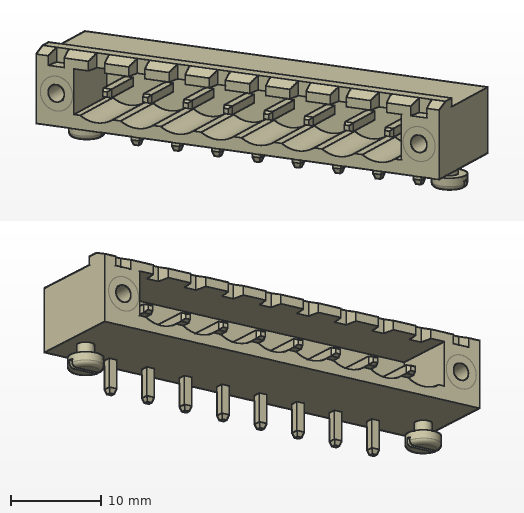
import cadquery as cq


pin_count = 8
pitch = 5.0
first_pin_x = -(pin_count - 1) * pitch / 2
pin_positions = [first_pin_x + i * pitch for i in range(pin_count)]
flange_x = -first_pin_x + pitch
flange_positions = [-flange_x, flange_x]

housing_length = (pin_count + 2) * pitch
housing_depth = 12.0
housing_height = 8.6
back_top_z = 7.6
lip_depth = 3.1
bevel_depth = 1.6
bevel_drop = 0.6

cavity_length = 40.6
cavity_depth = 8.0
cavity_top_z = 6.9
ridge_z = 1.65
valley_z = 1.05
ridge_width = 1.0

notch_front_width = 2.0
notch_back_width = 1.5

pin_width = 1.0
pin_tip_width = 0.6
pin_taper_length = 0.6
pin_axis_z = 3.8
pin_front_y = 2.1
pin_tail_y = 10.0
pin_tail_length = 4.0

insert_diameter = 4.0
insert_bore_diameter = 2.0
insert_depth = 5.0
screw_y = 7.5
shank_diameter = 2.0
shank_length = 1.5
head_diameter = 4.0
head_height = 1.5
head_fillet = 0.55
drive_slot_width = 0.5
drive_slot_depth = 0.9


def make_housing_block():
    """Stepped side profile with the bevelled lip, extruded along the row."""
    profile = [
        (0, 0),
        (housing_depth, 0),
        (housing_depth, back_top_z),
        (lip_depth, back_top_z),
        (lip_depth, housing_height),
        (bevel_depth, housing_height),
        (0, housing_height - bevel_drop),
    ]
    return cq.Workplane("YZ").polyline(profile).close().extrude(housing_length / 2, both=True)


def make_cavity():
    """Mating cavity whose floor has one arc valley under every pin."""
    half_length = cavity_length / 2
    half_valley = (pitch - ridge_width) / 2
    outline = cq.Workplane("XZ").moveTo(-half_length, cavity_top_z).lineTo(-half_length, ridge_z)
    for x in pin_positions:
        outline = outline.lineTo(x - half_valley, ridge_z)
        outline = outline.threePointArc((x, valley_z), (x + half_valley, ridge_z))
    outline = outline.lineTo(half_length, ridge_z).lineTo(half_length, cavity_top_z).close()
    return outline.extrude(-cavity_depth)


def make_notch(x):
    """Coding notch through the lip, narrowing from the mating face inward."""
    plan = [
        (x - notch_front_width / 2, 0),
        (x + notch_front_width / 2, 0),
        (x + notch_back_width / 2, bevel_depth),
        (x - notch_back_width / 2, bevel_depth),
    ]
    notch_height = housing_height - cavity_top_z
    return cq.Workplane("XY").workplane(offset=cavity_top_z).polyline(plan).close().extrude(notch_height)


def make_square_bar(length):
    """Square pin rising from the origin along Z, with a tapered upper tip."""
    straight_length = length - pin_taper_length
    bar = cq.Workplane("XY").rect(pin_width, pin_width).extrude(straight_length)
    tip = (
        cq.Workplane("XY")
        .workplane(offset=straight_length)
        .rect(pin_width, pin_width)
        .workplane(offset=pin_taper_length)
        .rect(pin_tip_width, pin_tip_width)
        .loft(ruled=True)
    )
    return bar.union(tip)


def make_pin(x):
    """Right-angle pin: a contact toward the mating face and a tail below the housing."""
    elbow_y = pin_tail_y + pin_width / 2
    elbow_z = pin_axis_z + pin_width / 2
    contact = make_square_bar(elbow_y - pin_front_y).rotate((0, 0, 0), (1, 0, 0), 90)
    tail = make_square_bar(elbow_z + pin_tail_length).rotate((0, 0, 0), (1, 0, 0), 180)
    contact = contact.translate((x, elbow_y, pin_axis_z))
    tail = tail.translate((x, pin_tail_y, elbow_z))
    return contact.union(tail)


def make_insert_pocket(x):
    """Blind round pocket in the mating face that the insert fills."""
    center = (x, 0, pin_axis_z)
    return cq.Workplane("XZ", origin=center).circle(insert_diameter / 2).extrude(-insert_depth)


def make_insert(x):
    """Round insert flush with the mating face, with a bore through its length."""
    center = (x, 0, pin_axis_z)
    rings = cq.Workplane("XZ", origin=center).circle(insert_diameter / 2).circle(insert_bore_diameter / 2)
    return rings.extrude(-insert_depth)


def make_screw(x):
    """Slotted mounting screw hanging below the housing."""
    head_bottom_z = -shank_length - head_height
    head = (
        cq.Workplane("XY", origin=(x, screw_y, head_bottom_z))
        .circle(head_diameter / 2)
        .extrude(head_height)
        .faces("<Z")
        .edges()
        .fillet(head_fillet)
    )
    drive_slot = (
        cq.Workplane("XY", origin=(x, screw_y, head_bottom_z))
        .rect(head_diameter, drive_slot_width)
        .extrude(drive_slot_depth)
    )
    shank = cq.Workplane("XY", origin=(x, screw_y, 0)).circle(shank_diameter / 2).extrude(-shank_length)
    return head.cut(drive_slot).union(shank)


result = make_housing_block().cut(make_cavity())

for notch_x in pin_positions + flange_positions:
    result = result.cut(make_notch(notch_x))

for pin_x in pin_positions:
    result = result.union(make_pin(pin_x))

for side_x in flange_positions:
    result = result.union(make_screw(side_x))

for side_x in flange_positions:
    result = result.cut(make_insert_pocket(side_x), clean=False)
    result = result.union(make_insert(side_x), clean=False)